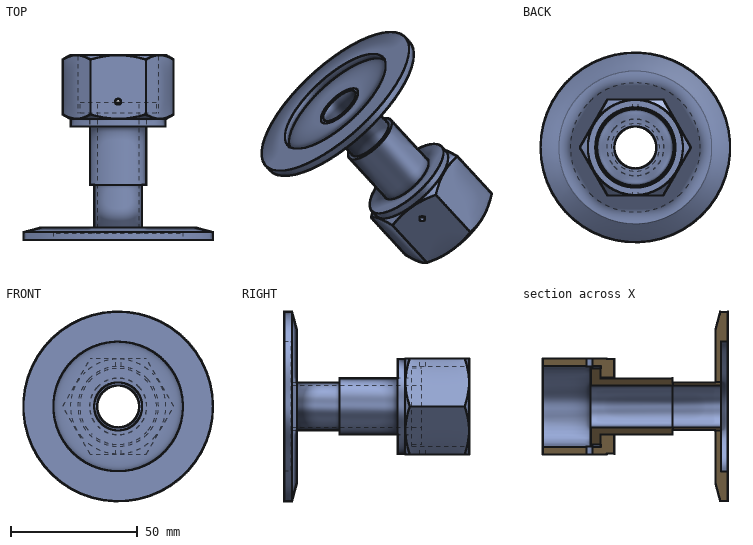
import cadquery as cq
import math

bore_diameter = 16.5

flange_diameter = 75.0
flange_taper_angle = 15.0
flange_rim_thickness = 3.1
flange_thickness = 5.0
recess_diameter = 51.2
recess_depth = 2.6

tube_diameter = 19.0
tube_end_y = 21.75

gland_diameter = 22.35
gland_head_diameter = 30.2
gland_head_thickness = 4.0
gland_end_y = 54.2

nut_start_y = 44.8
nut_end_y = 73.1
collar_length = 3.0
collar_diameter = 37.6
nut_across_flats = 38.0
nut_neck_diameter = 22.6
nut_bore_diameter = 31.7
chamfer_angle = 30.0
test_hole_diameter = 2.25
test_hole_y = 54.6

nut_across_corners = nut_across_flats / math.cos(math.radians(30))
hex_start_y = nut_start_y + collar_length
shoulder_y = gland_end_y - gland_head_thickness


def revolve_profile(points):
    """Revolve a closed (radius, y) outline about the Y axis."""
    return cq.Workplane("XY").polyline(points).close().revolve(360, (0, 0, 0), (0, 1, 0))


def cylinder(diameter, start_y, end_y):
    """Solid cylinder along Y between two positions."""
    radius = diameter / 2
    return revolve_profile([(0, start_y), (radius, start_y), (radius, end_y), (0, end_y)])


def make_flange():
    """Disc with a tapered back, a front recess and a hole for the tube."""
    rim_radius = flange_diameter / 2
    taper_length = flange_thickness - flange_rim_thickness
    back_radius = rim_radius - taper_length / math.tan(math.radians(flange_taper_angle))
    disc = revolve_profile([
        (0, 0),
        (rim_radius, 0),
        (rim_radius, flange_rim_thickness),
        (back_radius, flange_thickness),
        (0, flange_thickness),
    ])
    recess = cylinder(recess_diameter, 0, recess_depth)
    tube_hole = cylinder(tube_diameter, 0, flange_thickness)
    return disc.cut(recess).cut(tube_hole)


def make_tube():
    """Thin tube starting flush with the floor of the flange recess."""
    outside = cylinder(tube_diameter, recess_depth, tube_end_y)
    return outside.cut(cylinder(bore_diameter, recess_depth, tube_end_y))


def make_gland():
    """Thicker sleeve with a head that bears on the nut shoulder."""
    sleeve = cylinder(gland_diameter, tube_end_y, gland_end_y)
    head = cylinder(gland_head_diameter, shoulder_y, gland_end_y)
    return sleeve.union(head).cut(cylinder(bore_diameter, tube_end_y, gland_end_y))


def make_chamfered_hexagon():
    """Hexagonal prism whose corners are turned to a cone at both ends."""
    prism = (
        cq.Workplane("XZ", origin=(0, hex_start_y, 0))
        .polygon(6, nut_across_corners)
        .extrude(hex_start_y - nut_end_y)
    )
    end_radius = collar_diameter / 2
    corner_radius = nut_across_corners / 2
    chamfer_length = (corner_radius - end_radius) * math.tan(math.radians(chamfer_angle))
    turned_envelope = revolve_profile([
        (0, hex_start_y),
        (end_radius, hex_start_y),
        (corner_radius, hex_start_y + chamfer_length),
        (corner_radius, nut_end_y - chamfer_length),
        (end_radius, nut_end_y),
        (0, nut_end_y),
    ])
    return prism.intersect(turned_envelope)


def make_nut():
    """Hexagonal nut with collar, stepped bore and a cross-drilled test hole."""
    collar = cylinder(collar_diameter, nut_start_y, hex_start_y)
    neck_hole = cylinder(nut_neck_diameter, nut_start_y, shoulder_y)
    bore = cylinder(nut_bore_diameter, shoulder_y, nut_end_y)
    test_hole = (
        cq.Workplane("XY", origin=(0, test_hole_y, 0))
        .circle(test_hole_diameter / 2)
        .extrude(nut_across_flats, both=True)
    )
    return make_chamfered_hexagon().union(collar).cut(neck_hole).cut(bore).cut(test_hole)


flange = make_flange()
tube = make_tube()
gland = make_gland()
nut = make_nut()

result = cq.Compound.makeCompound([flange.val(), tube.val(), gland.val(), nut.val()])